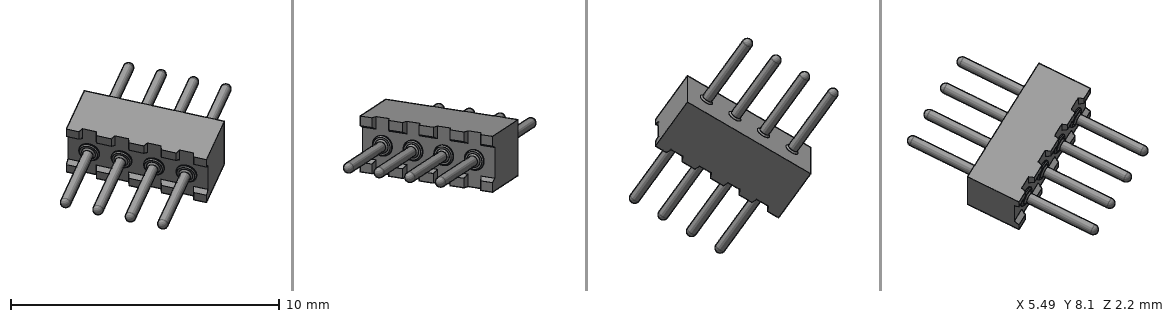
import cadquery as cq
import math

PIN_COUNT = 4
PITCH = 1.27
BODY_LENGTH = 5.49
BODY_DEPTH = 2.2
BODY_HEIGHT = 2.2
FRONT_Y = -BODY_DEPTH / 2
BACK_Y = BODY_DEPTH / 2

RECESS_DEPTH = 0.2
FLOOR_Y = FRONT_Y + RECESS_DEPTH
PAD_HEIGHT = 0.38
PAD_SLOPE_ANGLE = 30
NOTCH_FLOOR_WIDTH = 0.54
NOTCH_SLOPE_ANGLE = 20

PIN_RADIUS = 0.2
FRONT_PIN_LENGTH = 2.9
BACK_PIN_LENGTH = 3.0
COLLAR_CHAMFER = 0.07

BOSS_RADIUS = 0.4
BOSS_HEIGHT = 0.1
BOSS_CHAMFER = 0.05

pin_positions = [(i - (PIN_COUNT - 1) / 2) * PITCH for i in range(PIN_COUNT)]


def trapezoid_cutter(plane, floor_width, slope_angle, length):
    """Prism through the body whose walls spread from the recess floor to the front face."""
    spread = RECESS_DEPTH * math.tan(math.radians(slope_angle))
    half_floor = floor_width / 2
    half_mouth = half_floor + spread
    profile = [
        (-half_floor, FLOOR_Y),
        (half_floor, FLOOR_Y),
        (half_mouth, FRONT_Y),
        (-half_mouth, FRONT_Y),
    ]
    return cq.Workplane(plane).polyline(profile).close().extrude(length / 2, both=True)


def make_body():
    """Block with one long channel and a vertical notch at every pin."""
    body = cq.Workplane("XY").box(BODY_LENGTH, BODY_DEPTH, BODY_HEIGHT)

    channel_spread = RECESS_DEPTH * math.tan(math.radians(PAD_SLOPE_ANGLE))
    channel_floor_width = BODY_HEIGHT - 2 * (PAD_HEIGHT + channel_spread)
    channel_plane = cq.Plane(origin=(0, 0, 0), xDir=(0, 0, 1), normal=(-1, 0, 0))
    body = body.cut(trapezoid_cutter(channel_plane, channel_floor_width, PAD_SLOPE_ANGLE, BODY_LENGTH))

    notch = trapezoid_cutter("XY", NOTCH_FLOOR_WIDTH, NOTCH_SLOPE_ANGLE, BODY_HEIGHT)
    for x in pin_positions:
        body = body.cut(notch.translate((x, 0, 0)))
    return body


def make_pin():
    """Round-ended pin with its front boss and collars, revolved about the Y axis."""
    front_tip = FRONT_Y - FRONT_PIN_LENGTH
    back_tip = BACK_Y + BACK_PIN_LENGTH
    front_shoulder = front_tip + PIN_RADIUS
    back_shoulder = back_tip - PIN_RADIUS
    boss_top = FLOOR_Y - BOSS_HEIGHT
    collar_radius = PIN_RADIUS + COLLAR_CHAMFER
    arc_offset = PIN_RADIUS * math.sqrt(0.5)

    profile = (
        cq.Workplane("XY")
        .moveTo(0, front_tip)
        .threePointArc((arc_offset, front_shoulder - arc_offset), (PIN_RADIUS, front_shoulder))
        .lineTo(PIN_RADIUS, boss_top - COLLAR_CHAMFER)
        .lineTo(collar_radius, boss_top)
        .lineTo(BOSS_RADIUS - BOSS_CHAMFER, boss_top)
        .lineTo(BOSS_RADIUS, boss_top + BOSS_CHAMFER)
        .lineTo(BOSS_RADIUS, FLOOR_Y)
        .lineTo(collar_radius, FLOOR_Y)
        .lineTo(collar_radius, BACK_Y)
        .lineTo(PIN_RADIUS, BACK_Y + COLLAR_CHAMFER)
        .lineTo(PIN_RADIUS, back_shoulder)
        .threePointArc((arc_offset, back_shoulder + arc_offset), (0, back_tip))
        .close()
    )
    return profile.revolve(360, (0, 0, 0), (0, 1, 0))


result = make_body()
pin = make_pin()
for pin_x in pin_positions:
    result = result.union(pin.translate((pin_x, 0, 0)))